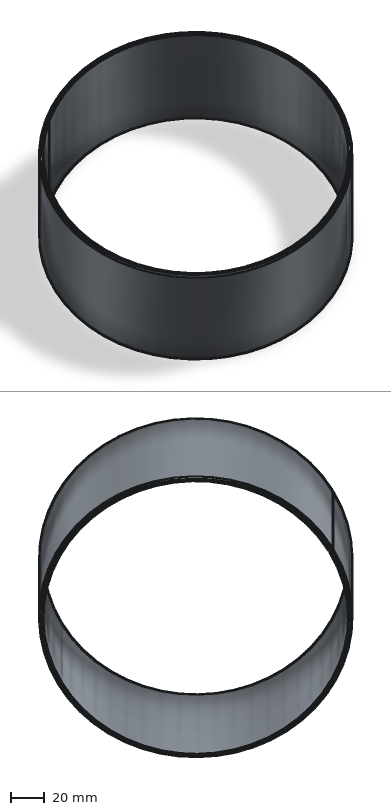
import cadquery as cq

outer_diameter = 185.0
height = 80.0
wall = 2.5

outer_bevel_height = 1.7
outer_bevel_width = 0.7

inner_bevel = 0.5

slit_width = 1.5

outer_radius = outer_diameter / 2
inner_radius = outer_radius - wall
rim_radius = outer_radius - outer_bevel_width


def make_sleeve():
    """Revolve the wall section, bevelled at all four corners."""
    section = [
        (inner_radius, inner_bevel),
        (inner_radius + inner_bevel, 0),
        (rim_radius, 0),
        (outer_radius, outer_bevel_height),
        (outer_radius, height - outer_bevel_height),
        (rim_radius, height),
        (inner_radius + inner_bevel, height),
        (inner_radius, height - inner_bevel),
    ]
    return cq.Workplane("XZ").polyline(section).close().revolve(360, (0, 0), (0, 1))


def make_slit():
    """Full-height cutter reaching from the axis out past the -X wall."""
    return cq.Workplane("XY").box(outer_diameter, slit_width, height, centered=False).translate(
        (-outer_diameter, 0, 0)
    )


result = make_sleeve().cut(make_slit())